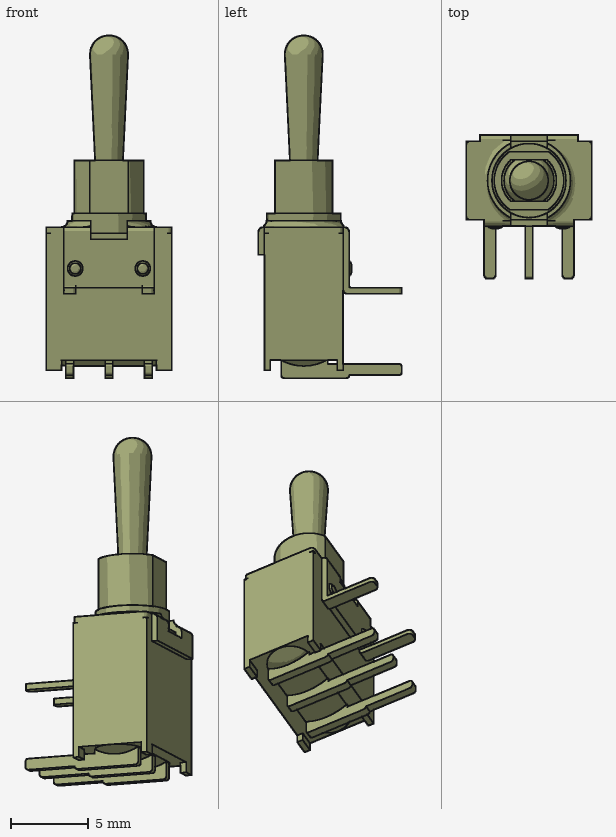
import cadquery as cq
import math


body_x = 8.13
body_y = 5.1
foot_z = 0.5
body_floor_z = 1.18
body_top_z = 9.4
foot_x = 1.0
foot_y = 0.4

potting_spacing = 5.02
potting_radius = 1.5
potting_depth = 0.4

sheet = 0.4
cover_top_z = body_top_z + sheet
cover_corner_radius = 0.27
bend_radius = 0.35
front_plate_x = 5.84
front_plate_bottom_z = 5.85
back_tab_x = 6.37
back_tab_bottom_z = 8.0
face_y = body_y / 2 + sheet
ring_radius = 2.69
ring_fillet = 0.4
ring_top_z = cover_top_z + ring_fillet
notch_x = 2.33
notch_bottom_z = 9.0

leg_x = 0.78
leg_tip_radius = 0.27
leg_bend_outer_radius = 0.25
leg_bend_inner_radius = 0.1
pin_end_y = -6.35

rivet_spacing = 4.37
rivet_z = 7.1
rivet_height = 0.15
rivet_diameter = 0.98
rivet_shoulder_diameter = 0.7
rivet_shoulder_height = 0.1
rivet_tip_diameter = 0.4

collar_diameter = 4.8
collar_top_z = 10.68
bushing_diameter = 4.5
bushing_flats = 3.75
bushing_top_z = 14.1
bore_diameter = 3.55
bore_flats = 2.66
bore_floor_z = collar_top_z

lever_top_z = 22.2
knob_radius = 1.25
lever_neck_radius = 0.9
pivot_radius = 1.62
pivot_z = 11.99

terminal_pitch = 2.55
terminal_x = 0.5
terminal_back_y = 1.47
terminal_step_y = -1.55
terminal_pin_top_z = 0.93
terminal_pin_bottom_z = 0.2
terminal_radius = 0.2


def block(x_size, y_range, z_range):
    """Box centred on X, spanning the given Y and Z ranges."""
    size_y = y_range[1] - y_range[0]
    size_z = z_range[1] - z_range[0]
    base = cq.Workplane("XY").box(x_size, size_y, size_z, centered=(True, False, False))
    return base.translate((0, y_range[0], z_range[0]))


def flatted_cylinder(diameter, flats, z_bottom, z_top):
    """Vertical cylinder with two flats facing -Y and +Y."""
    height = z_top - z_bottom
    cylinder = cq.Workplane("XY").workplane(offset=z_bottom).circle(diameter / 2).extrude(height)
    return cylinder.intersect(block(diameter, (-flats / 2, flats / 2), (z_bottom, z_top)))


def make_body():
    half_y = body_y / 2
    body = block(body_x, (-half_y, half_y), (foot_z, body_top_z))
    inner_y = half_y - foot_y
    body = body.cut(block(body_x - 2 * foot_x, (-half_y, half_y), (foot_z, body_floor_z)))
    return body.cut(block(body_x, (-inner_y, inner_y), (foot_z, body_floor_z)))


def make_potting():
    """Shallow bulge with an arched section and rounded ends: the underside of a long capsule."""
    arch_radius = (potting_radius**2 + potting_depth**2) / (2 * potting_depth)
    bottom_z = body_floor_z - potting_depth
    capsule = cq.Workplane("YZ").circle(arch_radius).extrude(potting_spacing / 2, both=True)
    for side in (-1, 1):
        end = cq.Workplane("XY").sphere(arch_radius).translate((side * potting_spacing / 2, 0, 0))
        capsule = capsule.union(end)
    capsule = capsule.translate((0, 0, bottom_z + arch_radius))
    slab = block(body_x, (-body_y / 2, body_y / 2), (bottom_z, body_floor_z))
    return capsule.intersect(slab)


def make_bracket():
    half_y = body_y / 2
    cover = block(body_x, (-half_y, half_y), (body_top_z, cover_top_z))
    cover = cover.edges("|Z").fillet(cover_corner_radius)
    front = block(front_plate_x, (-face_y, -half_y), (front_plate_bottom_z, cover_top_z))
    front = front.edges("|X and >Z and <Y").fillet(bend_radius)
    back = block(back_tab_x, (half_y, face_y), (back_tab_bottom_z, cover_top_z))
    back = back.edges("|X and >Z and >Y").fillet(bend_radius)
    return cover.union(front).union(back)


def make_ring():
    """Raised ring around the collar, flaring into the cover with a concave fillet."""
    flare_x = ring_radius + ring_fillet * (1 - math.sqrt(0.5))
    flare_z = cover_top_z + ring_fillet * (1 - math.sqrt(0.5))
    ring = (
        cq.Workplane("XZ")
        .moveTo(0, body_top_z)
        .lineTo(ring_radius + ring_fillet, body_top_z)
        .lineTo(ring_radius + ring_fillet, cover_top_z)
        .threePointArc((flare_x, flare_z), (ring_radius, ring_top_z))
        .lineTo(0, ring_top_z)
        .close()
        .revolve(360, (0, 0), (0, 1))
    )
    bend_start_y = face_y - bend_radius
    return ring.intersect(block(body_x, (-bend_start_y, bend_start_y), (body_top_z, ring_top_z)))


def make_notches():
    """Slot across the bracket: down to the body on top, a little lower in both folded sides."""
    half_y = body_y / 2
    notches = block(notch_x, (-face_y, face_y), (body_top_z, ring_top_z))
    for y_range in ((-face_y, -half_y), (half_y, face_y)):
        notches = notches.union(block(notch_x, y_range, (notch_bottom_z, ring_top_z)))
    return notches


def make_leg(x_center):
    leg_bottom_z = front_plate_bottom_z - sheet
    leg = block(leg_x, (pin_end_y, -body_y / 2), (leg_bottom_z, front_plate_bottom_z))
    leg = leg.edges("|Z and <Y").fillet(leg_tip_radius)
    leg = leg.edges("|X and >Y and <Z").fillet(leg_bend_outer_radius)
    inner_bend = (
        cq.Workplane("YZ")
        .moveTo(-face_y, front_plate_bottom_z)
        .lineTo(-face_y - leg_bend_inner_radius, front_plate_bottom_z)
        .radiusArc((-face_y, front_plate_bottom_z + leg_bend_inner_radius), -leg_bend_inner_radius)
        .close()
        .extrude(leg_x / 2, both=True)
    )
    return leg.union(inner_bend).translate((x_center, 0, 0))


def make_rivet(x_center):
    """Rivet head facing -Y: a steep outer cone, a shallow inner cone and a small flat tip."""
    rivet = (
        cq.Workplane("XY")
        .lineTo(rivet_diameter / 2, 0)
        .lineTo(rivet_shoulder_diameter / 2, rivet_shoulder_height)
        .lineTo(rivet_tip_diameter / 2, rivet_height)
        .lineTo(0, rivet_height)
        .close()
        .revolve(360, (0, 0), (0, 1))
    )
    return rivet.rotate((0, 0, 0), (0, 0, 1), 180).translate((x_center, -face_y, rivet_z))


def make_bushing():
    collar_height = collar_top_z - body_top_z
    collar = cq.Workplane("XY").workplane(offset=body_top_z)
    collar = collar.circle(collar_diameter / 2).extrude(collar_height)
    barrel = flatted_cylinder(bushing_diameter, bushing_flats, collar_top_z, bushing_top_z)
    bore = flatted_cylinder(bore_diameter, bore_flats, bore_floor_z, bushing_top_z)
    return collar.union(barrel).cut(bore)


def make_lever():
    """Tapered lever with a round knob on top and a pivot ball inside the bushing."""
    knob_z = lever_top_z - knob_radius
    taper = (knob_radius - lever_neck_radius) / (knob_z - bushing_top_z)
    root_radius = lever_neck_radius - taper * (bushing_top_z - pivot_z)
    stem = (
        cq.Workplane("XZ")
        .moveTo(0, pivot_z)
        .lineTo(root_radius, pivot_z)
        .lineTo(knob_radius, knob_z)
        .radiusArc((0, lever_top_z), -knob_radius)
        .close()
        .revolve(360, (0, 0), (0, 1))
    )
    pivot = cq.Workplane("XY").sphere(pivot_radius).translate((0, 0, pivot_z))
    slot = block(bore_diameter, (-bore_flats / 2, bore_flats / 2), (body_top_z, bushing_top_z))
    return stem.union(pivot.intersect(slot))


def make_terminal(x_center):
    """Flat terminal with a tall root under the body and a pin towards -Y."""
    root = block(terminal_x, (-face_y, terminal_back_y), (0, terminal_pin_top_z))
    root = root.edges("|X and <Z").fillet(terminal_radius)
    riser = block(terminal_x, (terminal_step_y, terminal_back_y), (terminal_pin_top_z, body_floor_z))
    pin = block(terminal_x, (pin_end_y, terminal_step_y), (terminal_pin_bottom_z, terminal_pin_top_z))
    pin = pin.edges("|X and <Y").fillet(terminal_radius)
    return root.union(riser).union(pin).translate((x_center, 0, 0))


result = make_body().union(make_potting())
result = result.union(make_bracket().union(make_ring()).cut(make_notches()))
result = result.union(make_bushing()).union(make_lever())
for side in (-1, 1):
    result = result.union(make_leg(side * (front_plate_x - leg_x) / 2))
    result = result.union(make_rivet(side * rivet_spacing / 2))
for position in (-1, 0, 1):
    result = result.union(make_terminal(position * terminal_pitch))